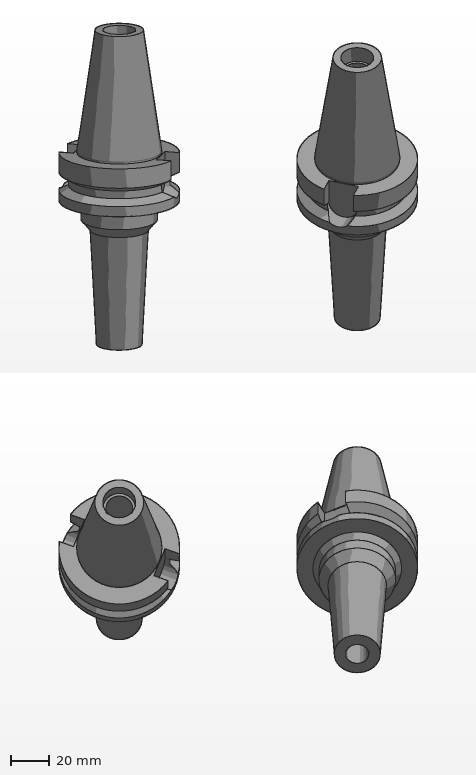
import cadquery as cq
import math


taper_length = 65.4
gauge_diameter = 44.45
taper_ratio = 7 / 24
small_end_radius = (gauge_diameter - taper_ratio * taper_length) / 2

flange_radius = 31.5
flange_top_z = -1.0
flange_bottom_z = -27.0
groove_center_z = -16.5
groove_root_radius = 26.5
groove_root_width = 4.2
groove_half_angle = 30.0
groove_flank_height = (flange_radius - groove_root_radius) * math.tan(math.radians(groove_half_angle))
groove_root_top_z = groove_center_z + groove_root_width / 2
groove_root_bottom_z = groove_center_z - groove_root_width / 2

collar_radius = 20.0
collar_chamfer = 3.1
collar_bottom_z = -37.3

nose_tip_z = -105.0
nose_tip_radius = 12.0
nose_angle = 3.0
nose_top_z = -42.9
nose_top_radius = nose_tip_radius + (nose_top_z - nose_tip_z) * math.tan(math.radians(nose_angle))
shoulder_start_angle = 45.0

slot_width = 16.1
slot_floor_x = 22.5
slot_bottom_z = -23.0

tool_bore_radius = 6.0
thread_bore_radius = 7.0
thread_bore_depth = 43.0
pilot_bore_radius = 8.5
pilot_bore_depth = 9.0


def shoulder_midpoint():
    """Middle of the shoulder arc that leaves the collar at shoulder_start_angle."""
    run = collar_radius - nose_top_radius
    drop = collar_bottom_z - nose_top_z
    chord = math.hypot(run, drop)
    deviation = math.radians(shoulder_start_angle) - math.atan2(run, drop)
    sagitta = chord / 2 * math.tan(deviation / 2)
    mid_radius = (collar_radius + nose_top_radius) / 2 - sagitta * drop / chord
    mid_z = (collar_bottom_z + nose_top_z) / 2 + sagitta * run / chord
    return mid_radius, mid_z


def make_body():
    """Solid of revolution: taper, grooved flange, collar and nose."""
    gauge_radius = gauge_diameter / 2
    profile = (
        cq.Workplane("YZ")
        .moveTo(0, taper_length)
        .lineTo(small_end_radius, taper_length)
        .lineTo(gauge_radius, 0)
        .lineTo(gauge_radius, flange_top_z)
        .lineTo(flange_radius, flange_top_z)
        .lineTo(flange_radius, groove_root_top_z + groove_flank_height)
        .lineTo(groove_root_radius, groove_root_top_z)
        .lineTo(groove_root_radius, groove_root_bottom_z)
        .lineTo(flange_radius, groove_root_bottom_z - groove_flank_height)
        .lineTo(flange_radius, flange_bottom_z)
        .lineTo(collar_radius + collar_chamfer, flange_bottom_z)
        .lineTo(collar_radius, flange_bottom_z - collar_chamfer)
        .lineTo(collar_radius, collar_bottom_z)
        .threePointArc(shoulder_midpoint(), (nose_top_radius, nose_top_z))
        .lineTo(nose_tip_radius, nose_tip_z)
        .lineTo(0, nose_tip_z)
        .close()
    )
    return profile.revolve(360, (0, 0, 0), (0, 1, 0))


def make_drive_slot(side):
    """Cutter for one round-bottomed slot; side is +1 for +X and -1 for -X."""
    slot_radius = slot_width / 2
    arc_center_z = slot_bottom_z + slot_radius
    slot_depth = flange_radius - slot_floor_x
    return (
        cq.Workplane("YZ", origin=(side * slot_floor_x, 0, 0))
        .moveTo(-slot_radius, flange_top_z)
        .lineTo(-slot_radius, arc_center_z)
        .threePointArc((0, slot_bottom_z), (slot_radius, arc_center_z))
        .lineTo(slot_radius, flange_top_z)
        .close()
        .extrude(side * slot_depth)
    )


def cut_bore(body):
    """Through bore for the tool, widened in two steps from the taper end."""
    top = cq.Workplane("XY", origin=(0, 0, taper_length))
    through_depth = taper_length - nose_tip_z
    for radius, depth in (
        (tool_bore_radius, through_depth),
        (thread_bore_radius, thread_bore_depth),
        (pilot_bore_radius, pilot_bore_depth),
    ):
        body = body.cut(top.circle(radius).extrude(-depth))
    return body


result = make_body()
for side in (1, -1):
    result = result.cut(make_drive_slot(side))
result = cut_bore(result)